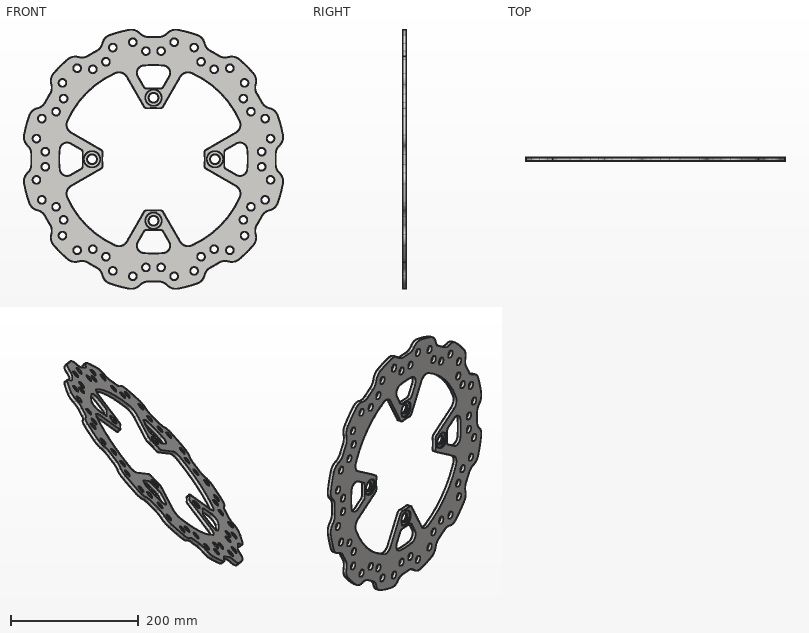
import cadquery as cq
import math

outer_size = 405.5
thickness = 6.0

lobe_count = 12
lobe_pitch = 360.0 / lobe_count
lobe_radius = 206.0
valley_radius = 191.5
wave_round = 18.2

opening_radius = 147.0
arm_count = 4
arm_tip_radius = 80.0
arm_half_angle = 30.0
arm_side_gap = 20.0
arm_root_round = 14.0
arm_tip_round = 6.0

window_wall = 15.5
window_floor = 110.5
window_outer_round = 11.5
window_inner_round = 5.0

bolt_circle_radius = 96.0
bolt_hole_diameter = 15.0
counterbore_diameter = 25.5
counterbore_depth = 3.0

vent_diameter = 11.8
vent_outer_radius = 185.7
vent_outer_angle = 10.0
vent_inner_radius = 169.5
vent_inner_angle = 4.0


def polar(radius, angle):
    """Point at an angle in degrees, measured from +Z towards +X."""
    return (radius * math.sin(math.radians(angle)), radius * math.cos(math.radians(angle)))


def midpoint(a, b):
    return ((a[0] + b[0]) / 2, (a[1] + b[1]) / 2)


def front_plane():
    """Sketch plane on the front face: local x is +X, local y is +Z, normal is -Y."""
    return cq.Workplane("XZ", origin=(0, -thickness / 2, 0))


def cylinder(centre, diameter, depth):
    """Cylinder reaching from the front face towards +Y."""
    return front_plane().center(*centre).circle(diameter / 2).extrude(-depth)


def rounding_middle(centre, start, end):
    """Middle of the short wave rounding from start to end about a centre."""
    chord_middle = midpoint(start, end)
    reach = wave_round / math.dist(centre, chord_middle)
    return tuple(c + reach * (m - c) for c, m in zip(centre, chord_middle))


def rim_blank():
    crest_centre_radius = lobe_radius - wave_round
    valley_centre_radius = valley_radius + wave_round

    crest_angle = math.degrees(math.acos((outer_size / 2 - wave_round) / crest_centre_radius))

    spread = math.degrees(math.acos(
        (crest_centre_radius**2 + valley_centre_radius**2 - (2 * wave_round) ** 2)
        / (2 * crest_centre_radius * valley_centre_radius)
    ))
    valley_angle = crest_angle - spread

    outline = front_plane().moveTo(*polar(valley_radius, -valley_angle))
    for lobe in range(lobe_count):
        valley = lobe * lobe_pitch
        next_valley = valley + lobe_pitch
        outline = outline.threePointArc(
            polar(valley_radius, valley), polar(valley_radius, valley + valley_angle)
        )

        hollow = polar(valley_centre_radius, valley + valley_angle)
        crest = polar(crest_centre_radius, valley + crest_angle)
        hollow_start = polar(valley_radius, valley + valley_angle)
        meeting = midpoint(hollow, crest)
        crest_end = polar(lobe_radius, valley + crest_angle)
        outline = outline.threePointArc(rounding_middle(hollow, hollow_start, meeting), meeting)
        outline = outline.threePointArc(rounding_middle(crest, meeting, crest_end), crest_end)

        crest_start = polar(lobe_radius, next_valley - crest_angle)
        outline = outline.threePointArc(polar(lobe_radius, valley + lobe_pitch / 2), crest_start)

        crest = polar(crest_centre_radius, next_valley - crest_angle)
        hollow = polar(valley_centre_radius, next_valley - valley_angle)
        hollow_end = polar(valley_radius, next_valley - valley_angle)
        meeting = midpoint(crest, hollow)
        outline = outline.threePointArc(rounding_middle(crest, crest_start, meeting), meeting)
        outline = outline.threePointArc(rounding_middle(hollow, meeting, hollow_end), hollow_end)
    return outline.close().extrude(-thickness)


def side_angle(radius, offset):
    """Angle of the point at a radius on a line parallel to an arm side, offset from the disc axis."""
    return arm_half_angle - math.degrees(math.asin(offset / radius))


arm_side_offset = bolt_circle_radius * math.sin(math.radians(arm_half_angle)) - arm_side_gap
window_side_offset = arm_side_offset + window_wall


def cut_at_arms(body, tool):
    """Cut a tool made for the +Z arm out of a body at every arm."""
    for arm in range(arm_count):
        body = body.cut(tool.rotate((0, 0, 0), (0, 1, 0), arm * 360.0 / arm_count))
    return body


def edges_across(body, inner_radius, outer_radius):
    """Edges through the thickness whose distance from the disc axis is in a range."""
    edges = body.edges("|Y")
    return edges.filter(
        lambda edge: inner_radius < math.hypot(edge.Center().x, edge.Center().z) < outer_radius
    )


def opening_cutter():
    tip_angle = side_angle(arm_tip_radius, arm_side_offset)
    root_radius = (opening_radius + valley_radius) / 2
    root_angle = side_angle(root_radius, arm_side_offset)
    arm = (
        front_plane()
        .moveTo(*polar(arm_tip_radius, -tip_angle))
        .threePointArc(polar(arm_tip_radius, 0), polar(arm_tip_radius, tip_angle))
        .lineTo(*polar(root_radius, root_angle))
        .lineTo(*polar(root_radius, -root_angle))
        .close()
        .extrude(-thickness)
    )
    cutter = cut_at_arms(cylinder((0, 0), 2 * opening_radius, thickness), arm)
    cutter = edges_across(cutter, 0, bolt_circle_radius).fillet(arm_tip_round)
    return edges_across(cutter, bolt_circle_radius, lobe_radius).fillet(arm_root_round)


def window_cutter():
    outer_angle = side_angle(opening_radius, window_side_offset)
    slope = math.radians(arm_half_angle)
    floor_half_width = window_floor * math.tan(slope) - window_side_offset / math.cos(slope)
    window = (
        front_plane()
        .moveTo(-floor_half_width, window_floor)
        .lineTo(floor_half_width, window_floor)
        .lineTo(*polar(opening_radius, outer_angle))
        .threePointArc(polar(opening_radius, 0), polar(opening_radius, -outer_angle))
        .close()
        .extrude(-thickness)
    )
    middle_radius = (window_floor + opening_radius) / 2
    window = edges_across(window, 0, middle_radius).fillet(window_inner_round)
    return edges_across(window, middle_radius, lobe_radius).fillet(window_outer_round)


def bolt_hole_cutter():
    centre = polar(bolt_circle_radius, 0)
    hole = cylinder(centre, bolt_hole_diameter, thickness)
    return hole.union(cylinder(centre, counterbore_diameter, counterbore_depth))


def vent_cutter():
    centres = []
    for lobe in range(lobe_count):
        valley = lobe * lobe_pitch
        for side in (-1, 1):
            centres.append(polar(vent_outer_radius, valley + side * vent_outer_angle))
            centres.append(polar(vent_inner_radius, valley + side * vent_inner_angle))
    return front_plane().pushPoints(centres).circle(vent_diameter / 2).extrude(-thickness)


disc = rim_blank().cut(opening_cutter())
disc = cut_at_arms(disc, window_cutter())
disc = cut_at_arms(disc, bolt_hole_cutter())
result = disc.cut(vent_cutter())